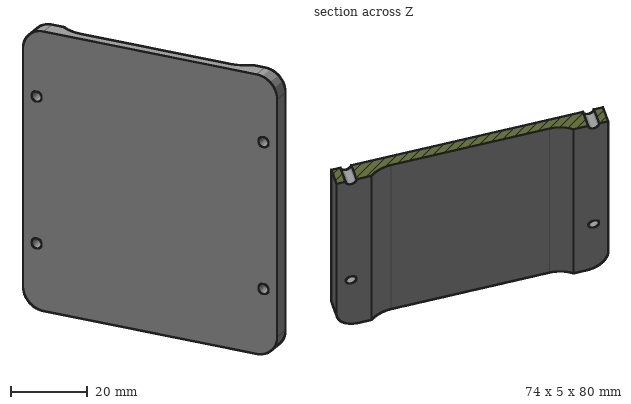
import math

import cadquery as cq

width = 74.0
height = 80.0
thickness = 5.0
corner_radius = 6.0

hole_diameter = 2.9
hole_inset = 4.0
hole_spacing_x = width - 2 * hole_inset
hole_spacing_z = 42.0

channel_mouth_width = 55.0
channel_depth = 2.0
channel_wall_radius = 10.0


def make_plate():
    """Rounded rectangular plate centred on the origin."""
    return cq.Workplane("XY").box(width, thickness, height).edges("|Y").fillet(corner_radius)


def make_channel():
    """Prism along Z with a flat floor and a concave arc wall on each side."""
    mouth_y = thickness / 2
    floor_y = mouth_y - channel_depth
    half_mouth = channel_mouth_width / 2
    wall_angle = math.acos(1 - channel_depth / channel_wall_radius)
    half_floor = half_mouth - channel_wall_radius * math.sin(wall_angle)
    mid_x = half_floor + channel_wall_radius * math.sin(wall_angle / 2)
    mid_y = floor_y + channel_wall_radius * (1 - math.cos(wall_angle / 2))
    return (
        cq.Workplane("XY")
        .moveTo(-half_mouth, mouth_y)
        .threePointArc((-mid_x, mid_y), (-half_floor, floor_y))
        .lineTo(half_floor, floor_y)
        .threePointArc((mid_x, mid_y), (half_mouth, mouth_y))
        .close()
        .extrude(height / 2, both=True)
    )


def make_holes():
    """Four cylinders along Y at the corners of the mounting pattern."""
    return (
        cq.Workplane("XZ")
        .rect(hole_spacing_x, hole_spacing_z, forConstruction=True)
        .vertices()
        .circle(hole_diameter / 2)
        .extrude(thickness / 2, both=True)
    )


result = make_plate().cut(make_channel()).cut(make_holes())